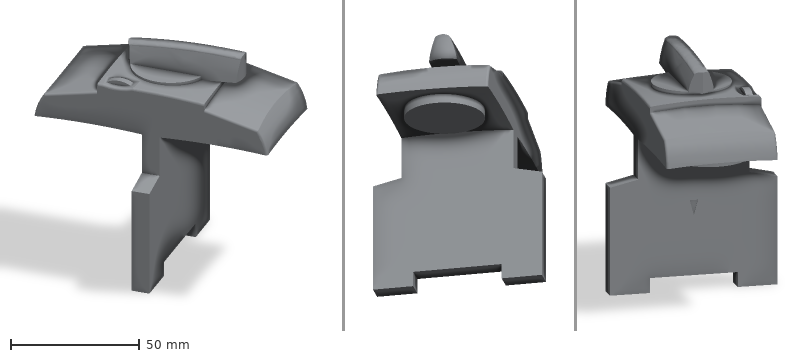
import cadquery as cq
import math

MARGIN = 9.75

PLATE_THICKNESS = 7.4
PLATE_WIDTH = 67.6
SHOULDER_Z = 43.7
NECK_Z = 46.2
FOOT_NOTCH_WIDTH = 35.4
FOOT_NOTCH_HEIGHT = 6.0
ARROW_TOP_Z = 36.5
ARROW_TIP_Z = 30.3
ARROW_HALF_WIDTH = 1.7
ARROW_DEPTH = 0.4

HOUSING_LENGTH = 97.5
HOUSING_WIDTH = 44.85
HOUSING_BASE_Z = 62.4
EDGE_RADIUS = 1.0
CORE_LENGTH = 44.6
CROWN_X = -4.9
CROWN_Y = -6.8
CROWN_Z = 82.8
CROWN_RADIUS = 273.0
WING_OVERLAP = 1.0
WING_ROOT_Z = 79.6
WING_EDGE_X = 43.4
WING_EDGE_Z = 74.8
WING_ARCH_RADIUS = 195.0
END_WALL_MID_X = 46.8
END_WALL_MID_Z = 69.4
UNDERSIDE_Y = -4.9
UNDERSIDE_Z = 64.3
UNDERSIDE_RADIUS = 341.25

DISC_RADIUS = 15.8
DISC_BOTTOM_Z = 81.4
DISC_TOP_Z = 83.7
PAD_X = 26.3
PAD_BOTTOM_Z = 60.2
PAD_TOP_Z = 64.35

NOSE_X = -17.7
NOSE_SHOULDER_X = -14.8
HANDLE_END_X = 30.7
HANDLE_END_RADIUS = 10.7
HANDLE_FLANK_BULGE = 0.4
HANDLE_HALF_WIDTH = 5.85
HANDLE_CREASE_HALF_WIDTH = 3.1
HANDLE_CREASE_DROP = 1.5
HANDLE_FOOT_Z = 82.3
NOSE_UNDERSIDE_Z = 83.2
HANDLE_END_UNDERSIDE_Z = 83.6
HANDLE_TOP_Z = 94.3
HANDLE_SECTIONS = [(-19.5, 5.3, 91.5), (15.6, 5.7, HANDLE_TOP_Z), (32.2, 5.8, 93.8)]

SCOOP_LEFT_X = -20.9
SCOOP_RIGHT_X = -6.7
SCOOP_LOW_X = -14.6
SCOOP_LEFT_Z = 82.2
SCOOP_LOW_Z = 81.3
SCOOP_RIGHT_Z = 82.7
SCOOP_BACK_Y = -15.8
SCOOP_WALL_RUN = 1.8
SCOOP_WALL_ANGLE = 35.0
INDICATOR_LEFT_X = -19.5
INDICATOR_RIGHT_X = -9.1
INDICATOR_FRONT_Y = -19.8
INDICATOR_BACK_Y = -17.0
INDICATOR_EDGE_Z = 81.9
INDICATOR_TOP_Z = 83.4
INDICATOR_BOTTOM_Z = 79.95

HALF_WIDTH = HOUSING_WIDTH / 2
HALF_CORE = CORE_LENGTH / 2
SIDES = (-1, 1)


def box_between(low, high):
    """Box from its lowest to its highest corner."""
    size = [end - start for start, end in zip(low, high)]
    return cq.Workplane("XY").box(*size, centered=False).translate(low)


def vertical_cylinder(x, bottom, top):
    return cq.Workplane("XY", origin=(x, 0, bottom)).circle(DISC_RADIUS).extrude(top - bottom)


def make_plate():
    half_plate = PLATE_WIDTH / 2
    half_notch = FOOT_NOTCH_WIDTH / 2
    half_outline = [
        (half_notch, FOOT_NOTCH_HEIGHT),
        (half_notch, 0),
        (half_plate, 0),
        (half_plate, SHOULDER_Z),
        (HALF_WIDTH, NECK_Z),
        (HALF_WIDTH, PAD_TOP_Z),
    ]
    mirrored = [(-y, z) for y, z in reversed(half_outline)]
    plate = (
        cq.Workplane("YZ")
        .polyline(half_outline + mirrored)
        .close()
        .extrude(PLATE_THICKNESS / 2, both=True)
    )
    arrow = (
        cq.Workplane("YZ", origin=(-PLATE_THICKNESS / 2, 0, 0))
        .polyline([
            (-ARROW_HALF_WIDTH, ARROW_TOP_Z),
            (ARROW_HALF_WIDTH, ARROW_TOP_Z),
            (0, ARROW_TIP_Z),
        ])
        .close()
        .extrude(ARROW_DEPTH)
    )
    return plate.cut(arrow)


def scoop_outline():
    """Concave floor arc at the foot of the back wall, closed well above the housing."""
    top = CROWN_Z + MARGIN
    return (
        cq.Workplane("XZ", origin=(0, SCOOP_BACK_Y, 0))
        .moveTo(SCOOP_LEFT_X, top)
        .lineTo(SCOOP_LEFT_X, SCOOP_LEFT_Z)
        .threePointArc((SCOOP_LOW_X, SCOOP_LOW_Z), (SCOOP_RIGHT_X, SCOOP_RIGHT_Z))
        .lineTo(SCOOP_RIGHT_X, top)
        .close()
    )


def make_scoop():
    """Hollow open to the front, with a sloping back wall."""
    floor = scoop_outline().extrude(HALF_WIDTH)
    back = scoop_outline().extrude(-SCOOP_WALL_RUN, taper=SCOOP_WALL_ANGLE)
    return floor.union(back)


def round_outer_edges(body, is_rounded):
    """Fillet the edges of the front and back faces that is_rounded accepts by their centre."""
    edges = [
        edge
        for face in ("<Y", ">Y")
        for edge in body.faces(face).edges().vals()
        if is_rounded(edge.Center())
    ]
    return body.newObject(edges).fillet(EDGE_RADIUS)


def make_core():
    """Middle block with a spherical top and the indicator scoop."""
    crown = cq.Workplane("XY").sphere(CROWN_RADIUS).translate((CROWN_X, CROWN_Y, CROWN_Z - CROWN_RADIUS))
    core = box_between(
        (-HALF_CORE, -HALF_WIDTH, HOUSING_BASE_Z),
        (HALF_CORE, HALF_WIDTH, CROWN_Z),
    )
    core = core.intersect(crown).cut(make_scoop())
    return round_outer_edges(core, lambda centre: centre.z > WING_ROOT_Z)


def make_wing():
    """Sloping wing on the +X side, arched across its width."""
    wing_start = HALF_CORE - WING_OVERLAP
    outline = (
        cq.Workplane("XZ")
        .moveTo(wing_start, HOUSING_BASE_Z)
        .lineTo(HOUSING_LENGTH / 2, HOUSING_BASE_Z)
        .threePointArc((END_WALL_MID_X, END_WALL_MID_Z), (WING_EDGE_X, WING_EDGE_Z))
        .lineTo(WING_EDGE_X, WING_ROOT_Z + MARGIN)
        .lineTo(wing_start, WING_ROOT_Z + MARGIN)
        .close()
        .extrude(HALF_WIDTH, both=True)
    )
    run = WING_EDGE_X - HALF_CORE
    drop = WING_ROOT_Z - WING_EDGE_Z
    slope = math.atan2(drop, run)
    arch = (
        cq.Workplane(cq.Plane(
            origin=(HALF_CORE, 0, WING_ROOT_Z),
            xDir=(0, 1, 0),
            normal=(math.cos(slope), 0, -math.sin(slope)),
        ))
        .center(0, -WING_ARCH_RADIUS)
        .circle(WING_ARCH_RADIUS)
        .extrude(HOUSING_LENGTH, both=True)
    )
    wing = outline.intersect(arch)
    return round_outer_edges(wing, lambda centre: centre.z > UNDERSIDE_Z and centre.x > HALF_CORE)


def make_underside_hollow(side):
    """Shallow spherical hollow under one wing, reaching from the plate outward."""
    block = box_between((PLATE_THICKNESS / 2, -HOUSING_WIDTH, 0), (HOUSING_LENGTH, HOUSING_WIDTH, CROWN_Z))
    if side < 0:
        block = block.mirror("YZ")
    ball = cq.Workplane("XY").sphere(UNDERSIDE_RADIUS)
    return ball.translate((side * PAD_X, UNDERSIDE_Y, UNDERSIDE_Z - UNDERSIDE_RADIUS)).intersect(block)


def make_pad(side):
    return vertical_cylinder(side * PAD_X, PAD_BOTTOM_Z, PAD_TOP_Z)


def make_disc():
    return vertical_cylinder(0, DISC_BOTTOM_Z, DISC_TOP_Z)


def make_indicator():
    """Block with a domed top that stands in the scoop."""
    middle_x = (INDICATOR_LEFT_X + INDICATOR_RIGHT_X) / 2
    return (
        cq.Workplane("XZ", origin=(0, INDICATOR_BACK_Y, 0))
        .moveTo(INDICATOR_LEFT_X, INDICATOR_BOTTOM_Z)
        .lineTo(INDICATOR_LEFT_X, INDICATOR_EDGE_Z)
        .threePointArc((middle_x, INDICATOR_TOP_Z), (INDICATOR_RIGHT_X, INDICATOR_EDGE_Z))
        .lineTo(INDICATOR_RIGHT_X, INDICATOR_BOTTOM_Z)
        .close()
        .extrude(INDICATOR_BACK_Y - INDICATOR_FRONT_Y)
    )


def handle_section(x, half_width, ridge_z):
    """Cross-section wire of the handle: bowed flanks under an elliptical crown."""
    crease_z = ridge_z - HANDLE_CREASE_DROP
    flank_y = (half_width + HANDLE_CREASE_HALF_WIDTH) / 2 + HANDLE_FLANK_BULGE
    flank_z = (HANDLE_FOOT_Z + crease_z) / 2
    return (
        cq.Workplane("YZ", origin=(x, 0, 0))
        .moveTo(-half_width, HANDLE_FOOT_Z)
        .lineTo(half_width, HANDLE_FOOT_Z)
        .threePointArc((flank_y, flank_z), (HANDLE_CREASE_HALF_WIDTH, crease_z))
        .ellipseArc(HANDLE_CREASE_HALF_WIDTH, HANDLE_CREASE_DROP, 0, 180)
        .threePointArc((-flank_y, flank_z), (-half_width, HANDLE_FOOT_Z))
        .close()
        .val()
    )


def make_handle():
    """Handle bar with a pointed nose, a rounded end and undersides that rise away from the disc."""
    wires = [handle_section(x, half_width, ridge_z) for x, half_width, ridge_z in HANDLE_SECTIONS]
    bar = cq.Workplane(cq.Solid.makeLoft(wires))
    end_sag = HANDLE_END_RADIUS - math.sqrt(HANDLE_END_RADIUS**2 - HANDLE_HALF_WIDTH**2)
    plan = (
        cq.Workplane("XY")
        .moveTo(NOSE_X, 0)
        .lineTo(NOSE_SHOULDER_X, -HANDLE_HALF_WIDTH)
        .lineTo(HANDLE_END_X - end_sag, -HANDLE_HALF_WIDTH)
        .threePointArc((HANDLE_END_X, 0), (HANDLE_END_X - end_sag, HANDLE_HALF_WIDTH))
        .lineTo(NOSE_SHOULDER_X, HANDLE_HALF_WIDTH)
        .close()
        .extrude(HANDLE_TOP_Z + MARGIN)
    )
    side = (
        cq.Workplane("XZ")
        .polyline([
            (NOSE_X, HANDLE_TOP_Z + MARGIN),
            (NOSE_X, NOSE_UNDERSIDE_Z),
            (0, HANDLE_FOOT_Z),
            (DISC_RADIUS, HANDLE_FOOT_Z),
            (HANDLE_END_X, HANDLE_END_UNDERSIDE_Z),
            (HANDLE_END_X, HANDLE_TOP_Z + MARGIN),
        ])
        .close()
        .extrude(HOUSING_WIDTH, both=True)
    )
    return bar.intersect(plan).intersect(side)


def make_knob():
    return make_disc().union(make_handle())


def make_housing():
    housing = make_core()
    wing = make_wing()
    housing = housing.union(wing).union(wing.mirror("YZ"))
    for side in SIDES:
        housing = housing.cut(make_underside_hollow(side))
    housing = housing.union(make_plate())
    for side in SIDES:
        housing = housing.cut(make_pad(side))
    return housing.cut(make_disc()).cut(make_indicator())


housing = make_housing()
knob = make_knob()
indicator = make_indicator()
pads = [make_pad(side) for side in SIDES]

result = cq.Compound.makeCompound([
    housing.val(),
    knob.val(),
    indicator.val(),
    *[pad.val() for pad in pads],
])